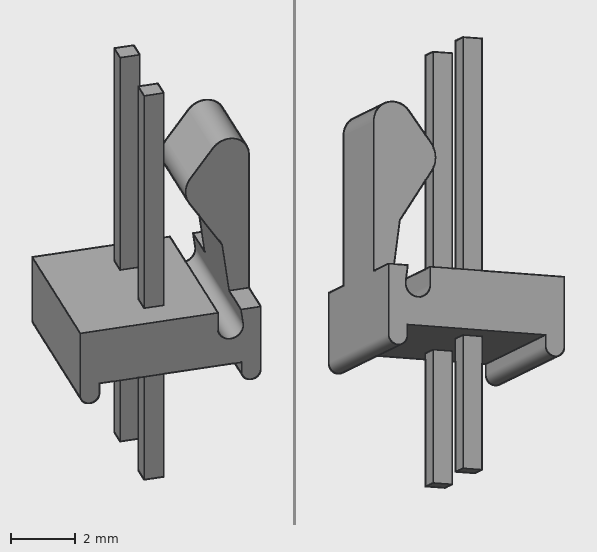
import cadquery as cq
import math


pitch = 2.54
pin_count = 2
pin_side = 0.64
pin_length = 13.59
pin_bottom = -4.2

housing_width = pin_count * pitch
housing_depth = 5.85
housing_top = 1.88
back = 3.17
front = back - housing_depth
foot_width = 0.63
foot_radius = foot_width / 2
foot_height = 0.65

slot_radius = 0.41
slot_center = (back - 0.98, 1.3)

latch_width = 2.58
latch_top = 7.26
tip_radius = 0.65
tip_center = (back - tip_radius, latch_top - tip_radius)
nose_radius = 0.77
nose_reach = 2.05
nose_center = (back - nose_reach + nose_radius, 5.59)
knee = (back - 0.87, 3.53)


def on_circle(center, radius, angle):
    """Point of a circle in the YZ plane, with the angle measured from +Y toward +Z."""
    return (center[0] + radius * math.cos(angle), center[1] + radius * math.sin(angle))


def direction(start, end):
    """Angle and distance from one YZ point to another."""
    dy = end[0] - start[0]
    dz = end[1] - start[1]
    return math.atan2(dz, dy), math.hypot(dy, dz)


def extrude_across(outline, width):
    """Extrude a closed YZ outline along X, centred on X = 0."""
    return outline.close().extrude(width / 2, both=True)


slot_to_knee, slot_knee_distance = direction(slot_center, knee)
slot_tangent_angle = slot_to_knee - math.acos(slot_radius / slot_knee_distance)
slot_tangent = on_circle(slot_center, slot_radius, slot_tangent_angle)
rise_share = (housing_top - slot_tangent[1]) / (knee[1] - slot_tangent[1])
latch_root = (slot_tangent[0] + rise_share * (knee[0] - slot_tangent[0]), housing_top)


def make_housing():
    foot_center_z = foot_radius - foot_height
    slot_front = slot_center[0] - slot_radius
    outline = (
        cq.Workplane("YZ")
        .moveTo(front, housing_top)
        .lineTo(front, foot_center_z)
        .threePointArc((front + foot_radius, -foot_height), (front + foot_width, foot_center_z))
        .lineTo(front + foot_width, 0)
        .lineTo(back - foot_width, 0)
        .lineTo(back - foot_width, foot_center_z)
        .threePointArc((back - foot_radius, -foot_height), (back, foot_center_z))
        .lineTo(back, housing_top)
        .lineTo(*latch_root)
        .lineTo(*slot_tangent)
        .threePointArc((slot_center[0], slot_center[1] - slot_radius), (slot_front, slot_center[1]))
        .lineTo(slot_front, housing_top)
    )
    return extrude_across(outline, housing_width)


def make_latch():
    nose_to_knee, nose_knee_distance = direction(nose_center, knee)
    lower_angle = nose_to_knee - math.acos(nose_radius / nose_knee_distance)
    nose_to_tip, nose_tip_distance = direction(nose_center, tip_center)
    upper_angle = nose_to_tip + math.acos((nose_radius - tip_radius) / nose_tip_distance)
    outline = (
        cq.Workplane("YZ")
        .moveTo(back, housing_top)
        .lineTo(*latch_root)
        .lineTo(*knee)
        .lineTo(*on_circle(nose_center, nose_radius, lower_angle))
        .threePointArc(
            on_circle(nose_center, nose_radius, math.pi),
            on_circle(nose_center, nose_radius, upper_angle),
        )
        .lineTo(*on_circle(tip_center, tip_radius, upper_angle))
        .threePointArc(on_circle(tip_center, tip_radius, math.pi / 2), (back, tip_center[1]))
    )
    return extrude_across(outline, latch_width)


def make_pin(x):
    return (
        cq.Workplane("XY", origin=(x, 0, pin_bottom))
        .rect(pin_side, pin_side)
        .extrude(pin_length)
    )


result = make_housing().union(make_latch())
for index in range(pin_count):
    pin_x = (index - (pin_count - 1) / 2) * pitch
    result = result.union(make_pin(pin_x))